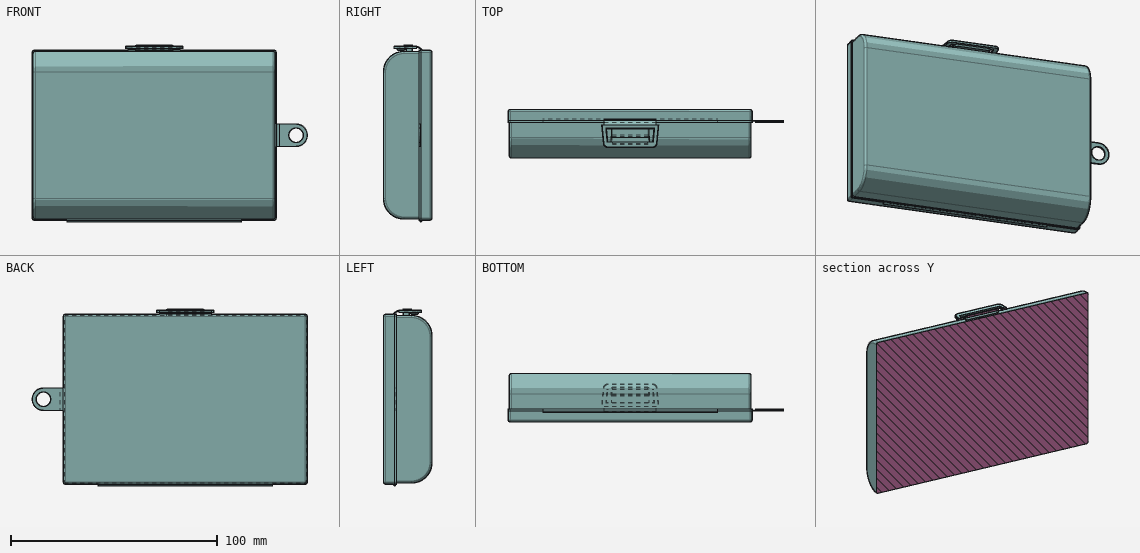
import cadquery as cq


total_length = 133.0
case_width = 118.0
case_height = 82.2
case_half_width = case_width / 2
case_half_height = case_height / 2
lid_depth = 5.5
base_depth = 18.1
case_edge_radius = 1.0

rim_depth = 0.8
base_inset = 0.5
base_half_width = case_half_width - base_inset
base_half_height = case_half_height - base_inset
base_corner_radius = 10.0
base_edge_radius = 1.0

tab_width = 10.9
tab_hole_diameter = 6.9
tab_tip_x = total_length - case_half_width
tab_hole_x = tab_tip_x - tab_width / 2
groove_half_width = 0.8
groove_x = case_half_width + groove_half_width
groove_web = 0.1

hinge_length = 84.3
hinge_height = 0.9
hinge_half_depth = rim_depth

latch_bottom_z = 41.9
latch_thickness = 1.2
latch_top_z = latch_bottom_z + latch_thickness
latch_back_y = -2.0
latch_front_y = -13.0
latch_back_width = 27.7
latch_front_width = 25.5
latch_corner_radius = 2.3
latch_edge_chamfer = 0.3
window_back_y = -4.0
window_front_y = -10.2
window_back_width = 22.9
window_front_width = 21.7
window_chamfer = 0.33
web_width = 25.1
web_root_y = 0.8
web_bend_z = 42.0
web_thickness = 0.4

tongue_width = 18.5
tongue_back_y = -7.6
tongue_front_y = -11.6
tongue_thickness = 0.9
tongue_corner_radius = 1.5
tongue_taper = 25.0

catch_width = 18.2
catch_back_y = -4.1
catch_stem_front_y = -7.0
catch_head_front_y = -8.1
catch_top_z = 43.5
catch_head_thickness = 1.3
catch_edge_radius = 0.5


def centred_plate(width, height, back_y, front_y):
    """A plate centred on X and Z that fills the depth between front_y and back_y."""
    depth = back_y - front_y
    return cq.Workplane("XY").box(width, depth, height).translate((0, (back_y + front_y) / 2, 0))


def prism_along_x(points, width):
    """A closed outline of (y, z) points, extruded symmetrically along X."""
    return cq.Workplane("YZ").polyline(points).close().extrude(width / 2, both=True)


def trapezoid(back_width, front_width, back_y, front_y, bottom_z, height):
    """An upright prism that narrows from its back edge to its front edge."""
    return (
        cq.Workplane("XY", origin=(0, 0, bottom_z))
        .moveTo(-back_width / 2, back_y)
        .lineTo(back_width / 2, back_y)
        .lineTo(front_width / 2, front_y)
        .lineTo(-front_width / 2, front_y)
        .close()
        .extrude(height)
    )


def make_lid():
    lid = centred_plate(case_width, case_height, lid_depth, 0)
    return lid.edges("|Y or >Y").fillet(case_edge_radius)


def make_base_shell():
    shell = centred_plate(2 * base_half_width, 2 * base_half_height, 0, -base_depth)
    shell = shell.edges("|X and <Y").fillet(base_corner_radius)
    shell = shell.faces("<X or >X").edges("not >Y").fillet(base_edge_radius)
    rim = centred_plate(case_width, case_height, 0, -rim_depth)
    return shell.union(rim.edges("|Y").fillet(case_edge_radius))


def make_tab():
    tab_root_x = base_half_width
    tab = (
        cq.Workplane("XZ")
        .moveTo(tab_root_x, -tab_width / 2)
        .lineTo(tab_hole_x, -tab_width / 2)
        .threePointArc((tab_tip_x, 0), (tab_hole_x, tab_width / 2))
        .lineTo(tab_root_x, tab_width / 2)
        .close()
        .extrude(rim_depth)
    )
    hole = cq.Workplane("XZ").center(tab_hole_x, 0).circle(tab_hole_diameter / 2).extrude(rim_depth)
    groove = (
        cq.Workplane("XY")
        .moveTo(groove_x - groove_half_width, -rim_depth)
        .threePointArc((groove_x, -groove_web), (groove_x + groove_half_width, -rim_depth))
        .close()
        .extrude(tab_width / 2, both=True)
    )
    return tab.cut(hole).cut(groove)


def make_catch():
    catch_root_z = base_half_height - base_edge_radius
    head_bottom_z = catch_top_z - catch_head_thickness
    catch = prism_along_x(
        [
            (catch_back_y, catch_root_z),
            (catch_back_y, catch_top_z),
            (catch_head_front_y, catch_top_z),
            (catch_head_front_y, head_bottom_z),
            (catch_stem_front_y, head_bottom_z),
            (catch_stem_front_y, catch_root_z),
        ],
        catch_width,
    )
    return catch.faces(">Z").edges("|Y").fillet(catch_edge_radius)


def make_base():
    return make_base_shell().union(make_tab()).union(make_catch())


def make_hinge():
    return prism_along_x(
        [
            (-hinge_half_depth, -case_half_height),
            (0, -case_half_height - hinge_height),
            (hinge_half_depth, -case_half_height),
        ],
        hinge_length,
    )


def make_latch_frame():
    frame = trapezoid(
        latch_back_width, latch_front_width, latch_back_y, latch_front_y, latch_bottom_z, latch_thickness
    )
    frame = frame.edges("|Z and <Y").fillet(latch_corner_radius)
    frame = frame.faces(">Z").edges("not >Y").chamfer(latch_edge_chamfer)
    window = trapezoid(
        window_back_width, window_front_width, window_back_y, window_front_y, latch_bottom_z, latch_thickness
    )
    frame = frame.cut(window)
    window_rim = frame.faces(">Z").wires(cq.selectors.LengthNthSelector(0))
    return window_rim.edges("not <Y").chamfer(window_chamfer)


def make_tongue():
    """A rounded tongue whose sides taper inwards from the underside of the latch."""
    half_width = tongue_width / 2
    round_start_x = half_width - tongue_corner_radius
    round_end_y = tongue_front_y + tongue_corner_radius
    return (
        cq.Workplane("XY", origin=(0, 0, latch_bottom_z))
        .moveTo(half_width, tongue_back_y)
        .lineTo(-half_width, tongue_back_y)
        .lineTo(-half_width, round_end_y)
        .radiusArc((-round_start_x, tongue_front_y), -tongue_corner_radius)
        .lineTo(round_start_x, tongue_front_y)
        .radiusArc((half_width, round_end_y), -tongue_corner_radius)
        .close()
        .extrude(-tongue_thickness, taper=tongue_taper)
    )


def make_latch_web():
    """The thin strip that rises from the top of the lid to the back of the latch."""
    return prism_along_x(
        [
            (web_root_y, case_half_height),
            (0, web_bend_z),
            (latch_back_y, latch_top_z),
            (latch_back_y, latch_top_z - web_thickness),
            (0, web_bend_z - web_thickness),
            (web_root_y - web_thickness, case_half_height),
        ],
        web_width,
    )


def make_latch():
    return make_latch_frame().union(make_tongue()).union(make_latch_web())


lid = make_lid()
base = make_base()
hinge = make_hinge()
latch = make_latch()

result = cq.Compound.makeCompound([lid.val(), base.val(), hinge.val(), latch.val()])